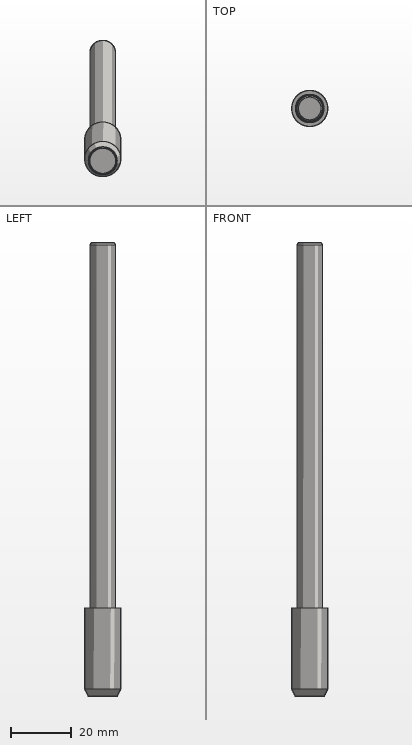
import cadquery as cq

total_length = 150.0

sleeve_diameter = 12.0
sleeve_length = 29.2
taper_height = 2.4
taper_width = 1.2

rod_diameter = 8.5
rod_chamfer_height = 0.8
rod_chamfer_width = 0.52

radial_clearance = 0.35
bore_diameter = rod_diameter + 2 * radial_clearance


def make_sleeve():
    """Tube with a tapered lower end and a clearance bore right through it."""
    outer_radius = sleeve_diameter / 2
    bore_radius = bore_diameter / 2
    wall_profile = (
        cq.Workplane("XZ")
        .moveTo(bore_radius, 0)
        .lineTo(outer_radius - taper_width, 0)
        .lineTo(outer_radius, taper_height)
        .lineTo(outer_radius, sleeve_length)
        .lineTo(bore_radius, sleeve_length)
        .close()
    )
    return wall_profile.revolve(360, (0, 0, 0), (0, 1, 0))


def make_rod():
    """Round rod running through the sleeve, chamfered at its upper end."""
    radius = rod_diameter / 2
    half_profile = (
        cq.Workplane("XZ")
        .lineTo(radius, 0)
        .lineTo(radius, total_length - rod_chamfer_height)
        .lineTo(radius - rod_chamfer_width, total_length)
        .lineTo(0, total_length)
        .close()
    )
    return half_profile.revolve(360, (0, 0, 0), (0, 1, 0))


sleeve = make_sleeve()
rod = make_rod()
result = cq.Compound.makeCompound([sleeve.val(), rod.val()])